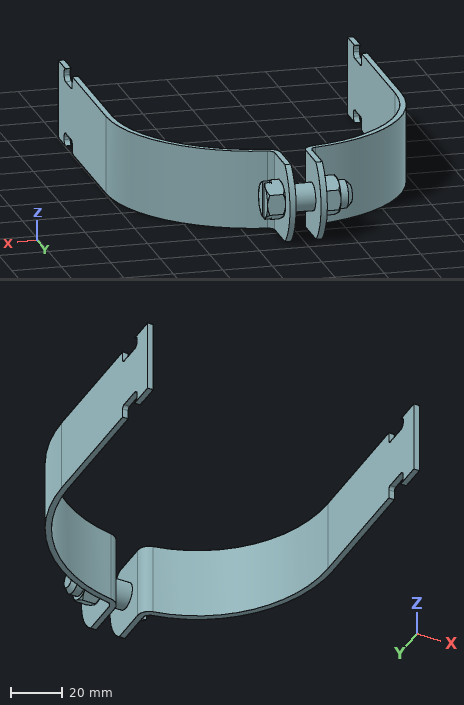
import cadquery as cq
import math


overall_width = 119.3
overall_length = 158.7
strap_height = 31.7
strap_thickness = 2.5
leg_length = 73.6
tab_gap = 10.0

bend_inner_radius = 2.5
tab_end_radius = 20.0

notch_start = 9.2
notch_end = 21.5
notch_depth = 5.2
notch_big_radius = 2.0
notch_small_radius = 1.3

bolt_diameter = 11.3
bolt_y = 71.4
bolt_end_x = -20.3
bolt_tip_diameter = 7.3
bolt_tip_length = 2.0
hex_across_flats = 14.1
hex_thickness = 7.3
hex_chamfer_angle = 40.0
slot_width = 2.4
slot_depth = 3.0

outer_radius = overall_width / 2
inner_radius = outer_radius - strap_thickness
tab_inner_x = tab_gap / 2
tab_outer_x = tab_inner_x + strap_thickness
tab_end_y = overall_length - leg_length
half_height = strap_height / 2
bend_outer_radius = bend_inner_radius + strap_thickness
bend_x = tab_outer_x + bend_inner_radius
bend_distance = outer_radius + bend_inner_radius
bend_y = math.sqrt(bend_distance**2 - bend_x**2)
bend_direction = math.atan2(bend_y, bend_x)


def polar(radius, angle, centre=(0, 0)):
    """Point at a radius and angle (radians) about a centre."""
    return (centre[0] + radius * math.cos(angle), centre[1] + radius * math.sin(angle))


def bent_strip():
    """Leg, arc, bend and tab of the +X half, extruded to the full strap height."""
    bend_centre = (bend_x, bend_y)
    arc_middle = bend_direction / 2
    bend_end = bend_direction + math.pi
    bend_middle = (math.pi + bend_end) / 2
    return (
        cq.Workplane("XY")
        .workplane(offset=-half_height)
        .moveTo(outer_radius, -leg_length)
        .lineTo(outer_radius, 0)
        .threePointArc(polar(outer_radius, arc_middle), polar(outer_radius, bend_direction))
        .threePointArc(polar(bend_inner_radius, bend_middle, bend_centre), (tab_outer_x, bend_y))
        .lineTo(tab_outer_x, tab_end_y)
        .lineTo(tab_inner_x, tab_end_y)
        .lineTo(tab_inner_x, bend_y)
        .threePointArc(
            polar(bend_outer_radius, bend_middle, bend_centre),
            polar(bend_outer_radius, bend_end, bend_centre),
        )
        .threePointArc(polar(inner_radius, arc_middle), (inner_radius, 0))
        .lineTo(inner_radius, -leg_length)
        .close()
        .extrude(strap_height)
    )


def side_outline():
    """Flat outline of the strap with its rounded tab end, extruded through the +X half."""
    end_arc_drop = tab_end_radius - math.sqrt(tab_end_radius**2 - half_height**2)
    shoulder_y = tab_end_y - end_arc_drop
    return (
        cq.Workplane("YZ")
        .moveTo(-leg_length, -half_height)
        .lineTo(shoulder_y, -half_height)
        .threePointArc((tab_end_y, 0), (shoulder_y, half_height))
        .lineTo(-leg_length, half_height)
        .close()
        .extrude(outer_radius)
    )


def edge_notch():
    """Cutter for the notch in the upper edge, which hooks back under a lip at its free-end side."""
    near_y = notch_start - leg_length
    far_y = notch_end - leg_length
    floor_z = half_height - notch_depth
    quarter = math.pi / 4
    lip_centre = (near_y + notch_big_radius, half_height - notch_big_radius)
    near_centre = (near_y + notch_big_radius, floor_z + notch_big_radius)
    far_centre = (far_y - notch_small_radius, floor_z + notch_small_radius)
    return (
        cq.Workplane("YZ")
        .moveTo(far_y, half_height)
        .lineTo(lip_centre[0], half_height)
        .threePointArc(polar(notch_big_radius, 3 * quarter, lip_centre), (near_y, lip_centre[1]))
        .lineTo(near_y, near_centre[1])
        .threePointArc(polar(notch_big_radius, 5 * quarter, near_centre), (near_centre[0], floor_z))
        .lineTo(far_centre[0], floor_z)
        .threePointArc(polar(notch_small_radius, 7 * quarter, far_centre), (far_y, far_centre[1]))
        .close()
        .extrude(outer_radius)
    )


def bolt_cylinder(diameter, start_x, end_x):
    """Cylinder on the bolt axis between two X positions."""
    return (
        cq.Workplane("YZ")
        .workplane(offset=start_x)
        .center(bolt_y, 0)
        .circle(diameter / 2)
        .extrude(end_x - start_x)
    )


def strap_half():
    """The +X strap half with its notches and bolt hole."""
    notch = edge_notch()
    hole = bolt_cylinder(bolt_diameter, 0, outer_radius)
    return bent_strip().intersect(side_outline()).cut(notch).cut(notch.mirror("XY")).cut(hole)


def hexagon(start_x):
    """Hexagon on the bolt axis, flats facing along Y, corners chamfered at both ends."""
    flat_radius = hex_across_flats / 2
    corner_radius = flat_radius / math.cos(math.pi / 6)
    chamfer_depth = (corner_radius - flat_radius) * math.tan(math.radians(hex_chamfer_angle))
    end_x = start_x + hex_thickness
    blank = (
        cq.Workplane("XY")
        .moveTo(start_x, bolt_y)
        .lineTo(start_x, bolt_y + flat_radius)
        .lineTo(start_x + chamfer_depth, bolt_y + corner_radius)
        .lineTo(end_x - chamfer_depth, bolt_y + corner_radius)
        .lineTo(end_x, bolt_y + flat_radius)
        .lineTo(end_x, bolt_y)
        .close()
        .revolve(360, (0, bolt_y, 0), (1, bolt_y, 0))
    )
    corners = [polar(corner_radius, math.radians(30 + 60 * i), (bolt_y, 0)) for i in range(6)]
    prism = cq.Workplane("YZ").workplane(offset=start_x).polyline(corners).close().extrude(hex_thickness)
    return prism.intersect(blank)


def slotted_bolt():
    """Shank with a tapered tip, and a hexagon head with a screwdriver slot across it."""
    head_end_x = tab_outer_x + hex_thickness
    taper_start_x = bolt_end_x + bolt_tip_length
    shank = (
        cq.Workplane("XY")
        .moveTo(bolt_end_x, bolt_y)
        .lineTo(bolt_end_x, bolt_y + bolt_tip_diameter / 2)
        .lineTo(taper_start_x, bolt_y + bolt_diameter / 2)
        .lineTo(tab_outer_x, bolt_y + bolt_diameter / 2)
        .lineTo(tab_outer_x, bolt_y)
        .close()
        .revolve(360, (0, bolt_y, 0), (1, bolt_y, 0))
    )
    slot = cq.Workplane("XY").box(2 * slot_depth, slot_width, strap_height)
    return shank.union(hexagon(tab_outer_x)).cut(slot.translate((head_end_x, bolt_y, 0)))


def hex_nut():
    """Nut against the -X tab, bored to fit the shank."""
    nut_start_x = -tab_outer_x - hex_thickness
    return hexagon(nut_start_x).cut(bolt_cylinder(bolt_diameter, nut_start_x, -tab_outer_x))


strap = strap_half()
straps = [strap.rotate((0, 0, 0), (0, 1, 0), turn).val() for turn in (0, 180)]
bolt = slotted_bolt()
nut = hex_nut()

result = cq.Compound.makeCompound([*straps, bolt.val(), nut.val()])